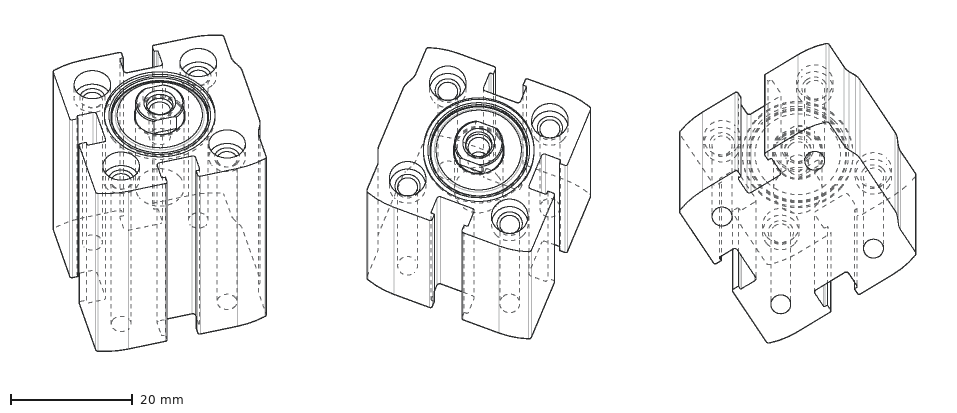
import cadquery as cq
import math

OVERALL_HEIGHT = 43.5
ROD_PROJECTION = 3.0
BODY_WIDTH = 29.0
BODY_HEIGHT = OVERALL_HEIGHT - ROD_PROJECTION
HALF = BODY_WIDTH / 2

SIDE_FLAT_HALF = 9.25
SIDE_BOW_RADIUS = 14.88
CORNER_RADIUS = 0.5
PAD_HEIGHT = 1.0
PAD_FOOT_HALF = 8.1
PAD_SLOPE_ANGLE = 25.0
PAD_BLEND_RADIUS = 2.52

SLOT_MOUTH_WIDTH = 5.2
SLOT_INNER_WIDTH = 6.52
SLOT_LIP = 1.3
SLOT_DEPTH = 4.52
SLOT_CORNER_RADIUS = 0.5
SLOT_LIP_RADIUS = 0.2
SLOT_MOUTH_RADIUS = 0.35

MOUNT_OFFSET = 9.0
MOUNT_HOLE_DIAMETER = 3.25
MOUNT_COUNTERSINK_DIAMETER = 4.15
MOUNT_COUNTERBORE_DIAMETER = 6.0
MOUNT_COUNTERBORE_DEPTH = 3.5

RECESS_DIAMETER = 18.2
RECESS_DEPTH = 0.65
RIM_OUTER_DIAMETER = 16.7
RIM_INNER_DIAMETER = 16.0
RIM_DEPTH = 0.25
COVER_DIAMETER = 15.75
COVER_GROOVE_DEPTH = 0.95
COVER_EDGE_DIAMETER = 14.6
COVER_EDGE_DEPTH = 0.4
COVER_FLAT_DIAMETER = 14.0
COVER_FLAT_DEPTH = 0.17
ROD_CLEARANCE_DIAMETER = 8.35
ROD_CLEARANCE_DEPTH = 0.65

ROD_DIAMETER = 8.0
ROD_LENGTH = 21.75
ROD_EDGE_CHAMFER = 0.2
ROD_FLAT_WIDTH = 7.0
ROD_FLAT_LENGTH = ROD_PROJECTION + COVER_FLAT_DEPTH
ROD_FLAT_RUNOUT_ANGLE = 30.0
ROD_MOUTH_DIAMETER = 5.2
ROD_BORE_DIAMETER = 4.3
ROD_BORE_DEPTH = 1.52
ROD_DRILL_DIAMETER = 3.5
ROD_DRILL_DEPTH = 8.7
DRILL_POINT_ANGLE = 118.0


def body_outline():
    """Solid block with bowed sides and rounded vertical corners."""
    bow_rise = HALF - SIDE_FLAT_HALF
    corner_x = HALF - SIDE_BOW_RADIUS + math.sqrt(SIDE_BOW_RADIUS**2 - bow_rise**2)
    bow_mid_angle = math.asin(bow_rise / SIDE_BOW_RADIUS) / 2
    mid_x = HALF - SIDE_BOW_RADIUS * (1 - math.cos(bow_mid_angle))
    mid_y = SIDE_FLAT_HALF + SIDE_BOW_RADIUS * math.sin(bow_mid_angle)
    block = (
        cq.Workplane("XY")
        .moveTo(-corner_x, -HALF)
        .lineTo(corner_x, -HALF)
        .threePointArc((mid_x, -mid_y), (HALF, -SIDE_FLAT_HALF))
        .lineTo(HALF, SIDE_FLAT_HALF)
        .threePointArc((mid_x, mid_y), (corner_x, HALF))
        .lineTo(-corner_x, HALF)
        .threePointArc((-mid_x, mid_y), (-HALF, SIDE_FLAT_HALF))
        .lineTo(-HALF, -SIDE_FLAT_HALF)
        .threePointArc((-mid_x, -mid_y), (-corner_x, -HALF))
        .close()
        .extrude(BODY_HEIGHT)
    )
    return block.edges("|Z").edges("<Y or >Y").fillet(CORNER_RADIUS)


def back_pad():
    """Low pad along the back, with a ramp at each end that blends into both flats."""
    crest_half = PAD_FOOT_HALF - PAD_HEIGHT / math.tan(math.radians(PAD_SLOPE_ANGLE))
    shoulder_half = PAD_FOOT_HALF + PAD_BLEND_RADIUS
    pad = (
        cq.Workplane("XY")
        .polyline(
            [
                (-shoulder_half, SIDE_FLAT_HALF),
                (shoulder_half, SIDE_FLAT_HALF),
                (shoulder_half, HALF),
                (PAD_FOOT_HALF, HALF),
                (crest_half, HALF + PAD_HEIGHT),
                (-crest_half, HALF + PAD_HEIGHT),
                (-PAD_FOOT_HALF, HALF),
                (-shoulder_half, HALF),
            ]
        )
        .close()
        .extrude(BODY_HEIGHT)
    )
    pad = pad.edges("|Z").edges(">Y").fillet(PAD_BLEND_RADIUS)
    for side in (-1, 1):
        foot = cq.selectors.NearestToPointSelector((side * PAD_FOOT_HALF, HALF, BODY_HEIGHT / 2))
        pad = pad.edges("|Z").edges(foot).fillet(PAD_BLEND_RADIUS)
    return pad


def slot_cutter():
    """T-slot tool for the +X face; the plate outside the face gives the rounded mouth edges."""
    mouth_half = SLOT_MOUTH_WIDTH / 2
    plate_half = mouth_half + 2 * SLOT_MOUTH_RADIUS
    plate_outer = HALF + 2 * SLOT_MOUTH_RADIUS
    floor = HALF - SLOT_DEPTH
    neck = (
        cq.Workplane("XY")
        .polyline(
            [
                (floor + SLOT_CORNER_RADIUS, -mouth_half),
                (HALF, -mouth_half),
                (HALF, -plate_half),
                (plate_outer, -plate_half),
                (plate_outer, plate_half),
                (HALF, plate_half),
                (HALF, mouth_half),
                (floor + SLOT_CORNER_RADIUS, mouth_half),
            ]
        )
        .close()
        .extrude(BODY_HEIGHT)
    )
    for side in (-1, 1):
        mouth = cq.selectors.NearestToPointSelector((HALF, side * mouth_half, BODY_HEIGHT / 2))
        neck = neck.edges("|Z").edges(mouth).fillet(SLOT_MOUTH_RADIUS)
    pocket = (
        cq.Workplane("XY")
        .box(SLOT_DEPTH - SLOT_LIP, SLOT_INNER_WIDTH, BODY_HEIGHT, centered=(False, True, False))
        .translate((floor, 0, 0))
    )
    pocket = pocket.edges("|Z and <X").fillet(SLOT_CORNER_RADIUS)
    pocket = pocket.edges("|Z and >X").fillet(SLOT_LIP_RADIUS)
    return neck.union(pocket)


def mount_hole_cutter():
    """Through hole with a counterbore and a countersunk edge at the counterbore floor."""
    hole_radius = MOUNT_HOLE_DIAMETER / 2
    countersink_radius = MOUNT_COUNTERSINK_DIAMETER / 2
    counterbore_radius = MOUNT_COUNTERBORE_DIAMETER / 2
    floor = BODY_HEIGHT - MOUNT_COUNTERBORE_DEPTH
    countersink_bottom = floor - (countersink_radius - hole_radius)
    return (
        cq.Workplane("XZ")
        .polyline(
            [
                (0, 0),
                (hole_radius, 0),
                (hole_radius, countersink_bottom),
                (countersink_radius, floor),
                (counterbore_radius, floor),
                (counterbore_radius, BODY_HEIGHT),
                (0, BODY_HEIGHT),
            ]
        )
        .close()
        .revolve(360, (0, 0, 0), (0, 1, 0))
    )


def cover_cutter():
    """Recess around the rod; it leaves a sloped outer rim and a raised inner cover."""
    top = BODY_HEIGHT
    return (
        cq.Workplane("XZ")
        .polyline(
            [
                (0, top),
                (0, top - ROD_CLEARANCE_DEPTH),
                (ROD_CLEARANCE_DIAMETER / 2, top - ROD_CLEARANCE_DEPTH),
                (ROD_CLEARANCE_DIAMETER / 2, top - COVER_FLAT_DEPTH),
                (COVER_FLAT_DIAMETER / 2, top - COVER_FLAT_DEPTH),
                (COVER_EDGE_DIAMETER / 2, top - COVER_EDGE_DEPTH),
                (COVER_DIAMETER / 2, top - COVER_GROOVE_DEPTH),
                (RIM_INNER_DIAMETER / 2, top - COVER_GROOVE_DEPTH),
                (RIM_INNER_DIAMETER / 2, top - RIM_DEPTH),
                (RIM_OUTER_DIAMETER / 2, top - RIM_DEPTH),
                (RECESS_DIAMETER / 2, top - RECESS_DEPTH),
                (RECESS_DIAMETER / 2, top),
            ]
        )
        .close()
        .revolve(360, (0, 0, 0), (0, 1, 0))
    )


def rod_blank():
    """Plain cylinder that also sets the size of the blind rod bore."""
    return (
        cq.Workplane("XY")
        .workplane(offset=OVERALL_HEIGHT - ROD_LENGTH)
        .circle(ROD_DIAMETER / 2)
        .extrude(ROD_LENGTH)
    )


def make_housing():
    housing = body_outline().union(back_pad())
    for turn in (0, 180, 270):
        housing = housing.cut(slot_cutter().rotate((0, 0, 0), (0, 0, 1), turn))
    for x in (-MOUNT_OFFSET, MOUNT_OFFSET):
        for y in (-MOUNT_OFFSET, MOUNT_OFFSET):
            housing = housing.cut(mount_hole_cutter().translate((x, y, 0)))
    return housing.cut(cover_cutter()).cut(rod_blank())


def rod_hole_cutter():
    """Countersunk bore that tapers down to a drilled hole with a conical end."""
    mouth_radius = ROD_MOUTH_DIAMETER / 2
    bore_radius = ROD_BORE_DIAMETER / 2
    drill_radius = ROD_DRILL_DIAMETER / 2
    point_depth = drill_radius / math.tan(math.radians(DRILL_POINT_ANGLE / 2))
    top = OVERALL_HEIGHT
    return (
        cq.Workplane("XZ")
        .polyline(
            [
                (0, top),
                (mouth_radius, top),
                (bore_radius, top - (mouth_radius - bore_radius)),
                (bore_radius, top - ROD_BORE_DEPTH),
                (drill_radius, top - ROD_BORE_DEPTH - (bore_radius - drill_radius)),
                (drill_radius, top - ROD_DRILL_DEPTH),
                (0, top - ROD_DRILL_DEPTH - point_depth),
            ]
        )
        .close()
        .revolve(360, (0, 0, 0), (0, 1, 0))
    )


def rod_flat_cutter():
    """Tool for the +X wrench flat, whose lower end slopes down and outward."""
    flat_x = ROD_FLAT_WIDTH / 2
    outer_x = ROD_DIAMETER / 2
    flat_bottom = OVERALL_HEIGHT - ROD_FLAT_LENGTH
    runout_drop = (outer_x - flat_x) * math.tan(math.radians(ROD_FLAT_RUNOUT_ANGLE))
    return (
        cq.Workplane("XZ")
        .polyline(
            [
                (flat_x, OVERALL_HEIGHT),
                (flat_x, flat_bottom),
                (outer_x, flat_bottom - runout_drop),
                (outer_x, OVERALL_HEIGHT),
            ]
        )
        .close()
        .extrude(ROD_DIAMETER / 2, both=True)
    )


def make_rod():
    """Rod with a wrench flat on each X side of its exposed end."""
    rod = rod_blank().faces(">Z").chamfer(ROD_EDGE_CHAMFER).cut(rod_hole_cutter())
    for turn in (0, 180):
        rod = rod.cut(rod_flat_cutter().rotate((0, 0, 0), (0, 0, 1), turn))
    return rod


housing = make_housing()
rod = make_rod()
result = cq.Compound.makeCompound([housing.val(), rod.val()])